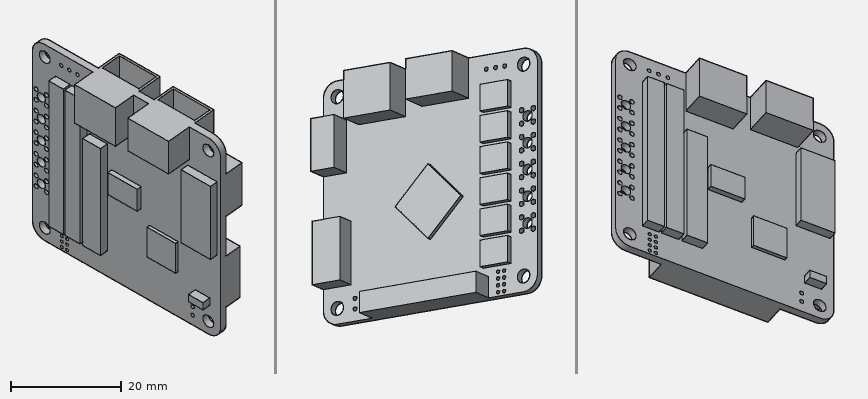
import cadquery as cq

BOARD_SIZE = 46.0
BOARD_HALF = BOARD_SIZE / 2
BOARD_THICKNESS = 1.5
CORNER_RADIUS = 3.0

MOUNT_HOLE_DIAMETER = 2.6
MOUNT_HOLE_PITCH = BOARD_SIZE - 2 * CORNER_RADIUS
SOCKET_CENTER_DIAMETER = 2.0
SOCKET_LEG_DIAMETER = 0.95
SOCKET_LEG_PITCH = 2.55
SOCKET_COUNT = 5
SOCKET_PITCH = 5.05
SOCKET_X = -20.85
PIN_DIAMETER = 0.8
PIN_PITCH = 2.0
TOP_PINS_X = -14.0
TOP_PINS_Z = 20.3
SIDE_PINS_X = 16.2
SIDE_PINS_Z = -19.7
HEADER_PIN_DIAMETER = 0.65
HEADER_PIN_PITCH = 1.3
HEADER_X = -15.2
HEADER_Z = -20.3

JACK_WIDTH = 10.0
JACK_WALL = 0.5
SHORT_JACK_DEPTH = 7.65
LONG_JACK_DEPTH = 9.0
LEFT_JACK_START_X = -8.25
LEFT_JACK_FRONT_HEIGHT = 4.9
LEFT_JACK_REAR_HEIGHT = 5.65
RIGHT_JACK_START_X = 5.4
RIGHT_JACK_FRONT_HEIGHT = 5.6
RIGHT_JACK_REAR_HEIGHT = 5.15

STRIP_HEIGHT = 1.85
STRIP_BOTTOM = -17.0
LONG_STRIP_LENGTH = 34.05
SHORT_STRIP_LENGTH = 25.05
STRIPS = [
    (-17.35, 3.55, LONG_STRIP_LENGTH),
    (-13.4, 3.7, LONG_STRIP_LENGTH),
    (-9.05, 4.35, SHORT_STRIP_LENGTH),
]

FRONT_BLOCKS = [
    (-3.6, -2.58, 7.18, 5.15, 1.05),
    (5.65, -12.37, 7.0, 7.0, 0.7),
    (15.0, -3.25, 7.18, 17.1, 1.8),
    (16.85, -16.05, 3.55, 1.7, STRIP_HEIGHT),
]

FLAT_COUNT = 6
FLAT_PITCH = 5.9
FLAT_LEFT = -17.35
FLAT_WIDTH = 6.0
FLAT_LENGTH = 5.0
FLAT_HEIGHT = 1.2

TURNED_CHIP_SIDE = 10.0
TURNED_CHIP_Z = -3.0
TURNED_CHIP_HEIGHT = 0.85
TURNED_CHIP_ANGLE = 45.0

EDGE_HEIGHT = 4.32
BOTTOM_EDGE_LENGTH = 25.02
BOTTOM_EDGE_DEPTH = 4.0
SIDE_EDGE_BOTTOM = 5.3
SIDE_EDGE_LENGTH = 10.0
SIDE_EDGE_DEPTH = 5.0
SIDE_BLOCK_BOTTOM = -16.0
SIDE_BLOCK_LENGTH = 12.0
SIDE_BLOCK_DEPTH = 6.0
SIDE_BLOCK_HEIGHT = 3.8


def corner_box(left, bottom, width, length, y_start, y_size):
    """Box from its lower left corner in XZ, reaching from y_start along +Y."""
    block = cq.Workplane("XY").box(width, y_size, length, centered=False)
    return block.translate((left, y_start, bottom))


def front_block(left, bottom, width, length, height):
    """Block standing on the front face, rooted through the board."""
    return corner_box(left, bottom, width, length, -height, height + BOARD_THICKNESS)


def rear_block(left, bottom, width, length, height):
    """Block standing on the rear face, rooted through the board."""
    return corner_box(left, bottom, width, length, 0, BOARD_THICKNESS + height)


def spread(count, pitch, center=0.0):
    """Evenly pitched positions around a center."""
    return [center + (i - (count - 1) / 2) * pitch for i in range(count)]


def hole_grid(diameter, xs, zs):
    """Drills through the board at every crossing of xs and zs."""
    points = [(x, z) for x in xs for z in zs]
    drills = cq.Workplane("XZ").pushPoints(points).circle(diameter / 2)
    return drills.extrude(-BOARD_THICKNESS)


def make_board():
    board = cq.Workplane("XY").box(BOARD_SIZE, BOARD_THICKNESS, BOARD_SIZE)
    return board.edges("|Y").fillet(CORNER_RADIUS).translate((0, BOARD_THICKNESS / 2, 0))


def drill_holes(board):
    mount = spread(2, MOUNT_HOLE_PITCH)
    socket_xs = spread(2, SOCKET_LEG_PITCH, SOCKET_X)
    socket_zs = spread(SOCKET_COUNT, SOCKET_PITCH)
    board = board.cut(hole_grid(MOUNT_HOLE_DIAMETER, mount, mount))
    board = board.cut(hole_grid(SOCKET_CENTER_DIAMETER, [SOCKET_X], socket_zs))
    for z in socket_zs:
        board = board.cut(hole_grid(SOCKET_LEG_DIAMETER, socket_xs, spread(2, SOCKET_LEG_PITCH, z)))
    board = board.cut(hole_grid(PIN_DIAMETER, spread(3, PIN_PITCH, TOP_PINS_X), [TOP_PINS_Z]))
    board = board.cut(hole_grid(PIN_DIAMETER, [SIDE_PINS_X], spread(2, PIN_PITCH, SIDE_PINS_Z)))
    header_xs = spread(2, HEADER_PIN_PITCH, HEADER_X)
    header_zs = spread(4, HEADER_PIN_PITCH, HEADER_Z)
    return board.cut(hole_grid(HEADER_PIN_DIAMETER, header_xs, header_zs))


def make_jack(left, front_height, front_depth, rear_height, rear_depth):
    """Solid front housing and a thin-walled rear housing open at the top edge."""
    front = front_block(left, BOARD_HALF - front_depth, JACK_WIDTH, front_depth, front_height)
    rear = rear_block(left, BOARD_HALF - rear_depth, JACK_WIDTH, rear_depth, rear_height)
    pocket = corner_box(
        left + JACK_WALL,
        BOARD_HALF - rear_depth + JACK_WALL,
        JACK_WIDTH - 2 * JACK_WALL,
        rear_depth - JACK_WALL,
        BOARD_THICKNESS + JACK_WALL,
        rear_height - 2 * JACK_WALL,
    )
    return front.union(rear.cut(pocket))


def make_turned_chip():
    total_height = BOARD_THICKNESS + TURNED_CHIP_HEIGHT
    chip = cq.Workplane("XY").box(TURNED_CHIP_SIDE, total_height, TURNED_CHIP_SIDE)
    chip = chip.rotate((0, 0, 0), (0, 1, 0), TURNED_CHIP_ANGLE)
    return chip.translate((0, total_height / 2, TURNED_CHIP_Z))


def make_jacks():
    left_jack = make_jack(
        LEFT_JACK_START_X,
        LEFT_JACK_FRONT_HEIGHT,
        LONG_JACK_DEPTH,
        LEFT_JACK_REAR_HEIGHT,
        SHORT_JACK_DEPTH,
    )
    right_jack = make_jack(
        RIGHT_JACK_START_X,
        RIGHT_JACK_FRONT_HEIGHT,
        SHORT_JACK_DEPTH,
        RIGHT_JACK_REAR_HEIGHT,
        LONG_JACK_DEPTH,
    )
    return [left_jack, right_jack]


def make_front_parts():
    strips = [
        front_block(left, STRIP_BOTTOM, width, length, STRIP_HEIGHT)
        for left, width, length in STRIPS
    ]
    return strips + [front_block(*block) for block in FRONT_BLOCKS]


def make_flat_parts():
    return [
        rear_block(FLAT_LEFT, center_z - FLAT_LENGTH / 2, FLAT_WIDTH, FLAT_LENGTH, FLAT_HEIGHT)
        for center_z in spread(FLAT_COUNT, FLAT_PITCH)
    ]


def make_edge_parts():
    bottom_edge = rear_block(
        -BOTTOM_EDGE_LENGTH / 2,
        -BOARD_HALF,
        BOTTOM_EDGE_LENGTH,
        BOTTOM_EDGE_DEPTH,
        EDGE_HEIGHT,
    )
    side_edge = rear_block(
        BOARD_HALF - SIDE_EDGE_DEPTH,
        SIDE_EDGE_BOTTOM,
        SIDE_EDGE_DEPTH,
        SIDE_EDGE_LENGTH,
        EDGE_HEIGHT,
    )
    side_block = rear_block(
        BOARD_HALF - SIDE_BLOCK_DEPTH,
        SIDE_BLOCK_BOTTOM,
        SIDE_BLOCK_DEPTH,
        SIDE_BLOCK_LENGTH,
        SIDE_BLOCK_HEIGHT,
    )
    return [bottom_edge, side_edge, side_block]


mounted_parts = make_front_parts() + make_jacks() + make_flat_parts() + make_edge_parts()
mounted_parts.append(make_turned_chip())

result = drill_holes(make_board())
for mounted_part in mounted_parts:
    result = result.union(mounted_part)